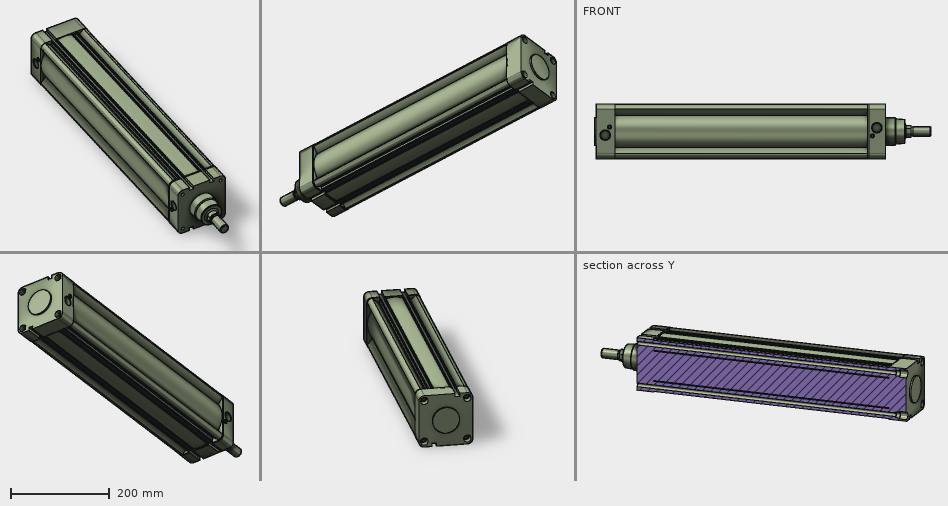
import cadquery as cq
import math

TOTAL_LENGTH = 683
REAR_BOSS_LENGTH = 3.5
TUBE_START = 42.0
TUBE_END = 554.0
GASKET_THICKNESS = 3.0
FRONT_CAP_END = 591.0
COLLAR_END = 610.0
SEAL_CARRIER_END = 630.5
WIPER_END = 632.5
ROD_END = 643.0
RELIEF_END = 647.0

CAP_WIDTH = 112.0
CAP_CORNER_RADIUS = 11.5
GASKET_INSET = 0.15
BOSS_RADIUS = 28.0

POST_INSET = 0.55
POST_WIDTH = 10.0
FLANK_ANGLE = 41
BARREL_RADIUS = 54.5
RAIL_WIDTH = 13.0
RAIL_INSET = 2.0

SLOT_OFFSET = 24.0
SLOT_WIDTH = 9.5
SLOT_DEPTH = 7.0
SLOT_LIP_THICKNESS = 2.0
SLOT_OPENING = 5.5
SLOT_LIP_CHAMFER = 1.5

TIE_ROD_OFFSET = 44.5
TIE_ROD_DIAMETER = 7.0
TIE_ROD_SOCKET_DIAMETER = 11.0
TIE_ROD_SOCKET_END = 27.0
TIE_ROD_RECESS_DIAMETER = 15.0
TIE_ROD_RECESS_END = 19.0

REAR_PORT_X = 22.0
FRONT_PORT_X = 573.0
PORT_Z = 7.5
PORT_DIAMETER = 18.5
PORT_DEPTH = 17.0
PORT_CHAMFER = 1.5
SCREW_OFFSET_X = 9.0
SCREW_OFFSET_Z = 16.5
SCREW_RECESS_DIAMETER = 8.0
SCREW_RECESS_DEPTH = 2.0
SCREW_DIAMETER = 5.0
SCREW_DEPTH = 4.0

COLLAR_TAPER_LENGTH = 2.0
CARRIER_BASE_RADIUS = 26.0
CARRIER_RADIUS = 24.5
CARRIER_CHAMFER = 1.5
WIPER_BASE_RADIUS = 16.5
ROD_RADIUS = 12.0
ROD_FLAT_WIDTH = 22.0
THREAD_RADIUS = 10.0
RELIEF_RADIUS = 9.5
THREAD_CHAMFER_LENGTH = 2.0
THREAD_CHAMFER_DEPTH = 1.5

half_cap = CAP_WIDTH / 2
half_tube = half_cap - POST_INSET
rail_top = half_cap - RAIL_INSET


def bar(x_start, x_end, y_center, z_center, y_size, z_size):
    """Rectangular bar running along X."""
    return (
        cq.Workplane("YZ", origin=(x_start, y_center, z_center))
        .rect(y_size, z_size)
        .extrude(x_end - x_start)
    )


def rounded_block(x_start, x_end, inset=0.0):
    """Square block along X with rounded long edges."""
    width = CAP_WIDTH - 2 * inset
    block = bar(x_start, x_end, 0, 0, width, width)
    return block.edges("|X").fillet(CAP_CORNER_RADIUS - inset)


def plain_slot(x_start, x_end, side_y, side_z):
    """Straight slot cutter in the top or bottom face."""
    z = side_z * (half_cap - SLOT_DEPTH / 2)
    return bar(x_start, x_end, side_y * SLOT_OFFSET, z, SLOT_WIDTH, SLOT_DEPTH)


def lipped_slot(x_start, x_end, side_y, side_z):
    """Undercut slot cutter with a chamfered mouth between two lips."""
    half_mouth = SLOT_OPENING / 2
    half_channel = SLOT_WIDTH / 2
    floor = half_cap - SLOT_DEPTH
    lip_bottom = rail_top - SLOT_LIP_THICKNESS
    chamfer_bottom = rail_top - SLOT_LIP_CHAMFER
    right_side = [
        (half_channel, floor),
        (half_channel, lip_bottom),
        (half_mouth, lip_bottom),
        (half_mouth, chamfer_bottom),
        (half_mouth + SLOT_LIP_CHAMFER, rail_top),
    ]
    left_side = [(-y, z) for y, z in reversed(right_side)]
    outline = [(side_y * SLOT_OFFSET + y, side_z * z) for y, z in right_side + left_side]
    sketch = cq.Workplane("YZ", origin=(x_start, 0, 0)).polyline(outline).close()
    return sketch.extrude(x_end - x_start)


def flank_groove(angle):
    """V groove cutter with sloping flanks between two corner posts."""
    mouth = half_tube - POST_WIDTH
    depth = mouth * math.tan(math.radians(FLANK_ANGLE))
    groove = (
        cq.Workplane("YZ", origin=(TUBE_START, 0, 0))
        .polyline([(-mouth, half_tube), (0, half_tube - depth), (mouth, half_tube)])
        .close()
        .extrude(TUBE_END - TUBE_START)
    )
    return groove.rotate((0, 0, 0), (1, 0, 0), angle)


def make_tube():
    tube = rounded_block(TUBE_START, TUBE_END, POST_INSET)
    for angle in (0, 90, 180, 270):
        tube = tube.cut(flank_groove(angle))
    barrel = (
        cq.Workplane("YZ", origin=(TUBE_START, 0, 0))
        .circle(BARREL_RADIUS)
        .extrude(TUBE_END - TUBE_START)
    )
    tube = tube.union(barrel)
    for side_z in (-1, 1):
        for side_y in (-1, 1):
            rail = bar(
                TUBE_START,
                TUBE_END,
                side_y * SLOT_OFFSET,
                side_z * rail_top / 2,
                RAIL_WIDTH,
                rail_top,
            )
            tube = tube.union(rail)
            tube = tube.cut(lipped_slot(TUBE_START, TUBE_END, side_y, side_z))
    return tube


def make_rear_cap():
    cap = rounded_block(REAR_BOSS_LENGTH, TUBE_START)
    for side in (-1, 1):
        cap = cap.cut(plain_slot(REAR_BOSS_LENGTH, TUBE_START, -side, side))
    boss = cq.Workplane("YZ").circle(BOSS_RADIUS).extrude(TUBE_START)
    return cap.union(boss)


def make_front_cap():
    gasket_end = TUBE_END + GASKET_THICKNESS
    cap = rounded_block(gasket_end, FRONT_CAP_END)
    cap = cap.union(rounded_block(TUBE_END, gasket_end, GASKET_INSET))
    for side_z in (-1, 1):
        for side_y in (-1, 1):
            cap = cap.cut(plain_slot(TUBE_END, FRONT_CAP_END, side_y, side_z))
    return cap


def make_rod_side():
    """Collar, seal carrier, wiper and threaded rod, turned about X."""
    turned = (
        cq.Workplane("XY")
        .moveTo(TUBE_END, 0)
        .lineTo(TUBE_END, BOSS_RADIUS)
        .lineTo(COLLAR_END, BOSS_RADIUS)
        .lineTo(COLLAR_END + COLLAR_TAPER_LENGTH, CARRIER_BASE_RADIUS)
        .lineTo(SEAL_CARRIER_END - CARRIER_CHAMFER, CARRIER_RADIUS)
        .lineTo(SEAL_CARRIER_END, CARRIER_RADIUS - CARRIER_CHAMFER)
        .lineTo(SEAL_CARRIER_END, WIPER_BASE_RADIUS)
        .lineTo(WIPER_END, ROD_RADIUS)
        .lineTo(ROD_END, ROD_RADIUS)
        .lineTo(ROD_END, RELIEF_RADIUS)
        .lineTo(RELIEF_END, RELIEF_RADIUS)
        .lineTo(RELIEF_END, THREAD_RADIUS)
        .lineTo(TOTAL_LENGTH - THREAD_CHAMFER_LENGTH, THREAD_RADIUS)
        .lineTo(TOTAL_LENGTH, THREAD_RADIUS - THREAD_CHAMFER_DEPTH)
        .lineTo(TOTAL_LENGTH, 0)
        .close()
        .revolve(360, (0, 0, 0), (1, 0, 0))
    )
    for side in (-1, 1):
        flat_center = side * (ROD_FLAT_WIDTH / 2 + ROD_RADIUS / 2)
        flat = bar(WIPER_END, ROD_END, flat_center, 0, ROD_RADIUS, 2 * ROD_RADIUS)
        turned = turned.cut(flat)
    return turned


def tie_rod_holes(x_end, diameter):
    """Cutter for the four corner holes, from the rear cap face to x_end."""
    return (
        cq.Workplane("YZ", origin=(REAR_BOSS_LENGTH, 0, 0))
        .rect(2 * TIE_ROD_OFFSET, 2 * TIE_ROD_OFFSET, forConstruction=True)
        .vertices()
        .circle(diameter / 2)
        .extrude(x_end - REAR_BOSS_LENGTH)
    )


def side_hole(x, z, diameter, depth):
    """Blind hole cutter entering the -Y face of a cap."""
    center = cq.Vector(x, -half_cap, z)
    return cq.Workplane(cq.Solid.makeCylinder(diameter / 2, depth, center, cq.Vector(0, 1, 0)))


def port(x, side_z):
    """Chamfered air port with its cushion screw hole diagonally across the axis."""
    z = side_z * PORT_Z
    mouth = cq.Workplane(
        cq.Solid.makeCone(
            PORT_DIAMETER / 2 + PORT_CHAMFER,
            PORT_DIAMETER / 2,
            PORT_CHAMFER,
            cq.Vector(x, -half_cap, z),
            cq.Vector(0, 1, 0),
        )
    )
    screw_x = x - side_z * SCREW_OFFSET_X
    screw_z = z - side_z * SCREW_OFFSET_Z
    screw_recess = side_hole(screw_x, screw_z, SCREW_RECESS_DIAMETER, SCREW_RECESS_DEPTH)
    screw = side_hole(screw_x, screw_z, SCREW_DIAMETER, SCREW_DEPTH).union(screw_recess)
    return side_hole(x, z, PORT_DIAMETER, PORT_DEPTH).union(mouth).union(screw)


result = make_tube().union(make_rear_cap()).union(make_front_cap()).union(make_rod_side())
result = result.cut(tie_rod_holes(FRONT_CAP_END, TIE_ROD_DIAMETER))
result = result.cut(tie_rod_holes(TIE_ROD_SOCKET_END, TIE_ROD_SOCKET_DIAMETER))
result = result.cut(tie_rod_holes(TIE_ROD_RECESS_END, TIE_ROD_RECESS_DIAMETER))
result = result.cut(port(REAR_PORT_X, -1)).cut(port(FRONT_PORT_X, 1))